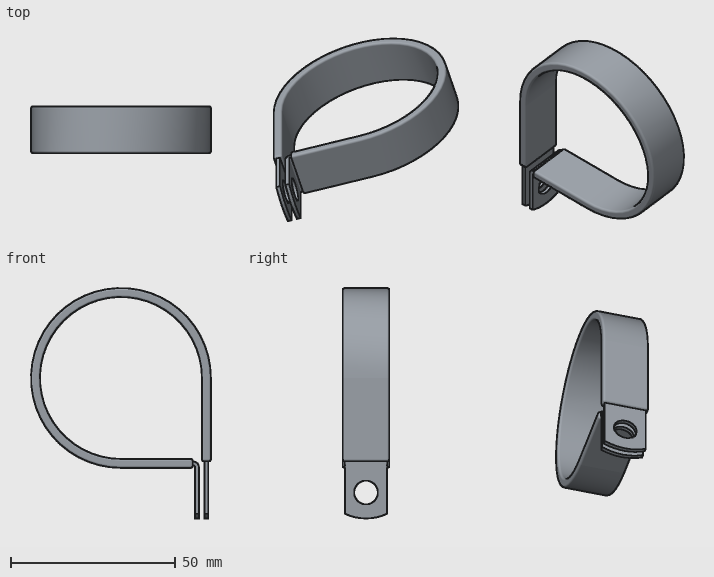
import cadquery as cq
import math


outer_diameter = 54.81
cushion_width = 14.29
cushion_thickness = 2.8
cushion_edge_radius = 0.7
strip_width = 12.89
strip_thickness = 1.22

lower_leg_end_x = 21.87
side_leg_end_z = -25.4
overall_height = 70.2
bent_tab_outer_x = 23.75
bend_inner_radius = 0.6
hole_diameter = 7.14
hole_to_bottom = 7.94
tab_end_rise = 1.45

outer_radius = outer_diameter / 2
tab_bottom_z = outer_radius - overall_height
mid_radius = outer_radius - cushion_thickness / 2
strip_inner_radius = mid_radius - strip_thickness / 2
strip_outer_radius = mid_radius + strip_thickness / 2
bend_outer_radius = bend_inner_radius + strip_thickness
bend_center_x = bent_tab_outer_x - bend_outer_radius
bend_center_z = -strip_inner_radius - bend_outer_radius
hole_z = tab_bottom_z + hole_to_bottom
diagonal = math.sqrt(0.5)


def extrude_centered(outline, width):
    """Extrude an XZ outline symmetrically about the XZ plane."""
    return outline.extrude(width / 2, both=True)


def make_cushion():
    """Three-quarter loop with two tangent legs, rounded on every edge."""
    inner_radius = outer_radius - cushion_thickness
    outline = (
        cq.Workplane("XZ")
        .moveTo(lower_leg_end_x, -outer_radius)
        .lineTo(0, -outer_radius)
        .threePointArc((-outer_radius * diagonal, outer_radius * diagonal), (outer_radius, 0))
        .lineTo(outer_radius, side_leg_end_z)
        .lineTo(inner_radius, side_leg_end_z)
        .lineTo(inner_radius, 0)
        .threePointArc((-inner_radius * diagonal, inner_radius * diagonal), (0, -inner_radius))
        .lineTo(lower_leg_end_x, -inner_radius)
        .close()
    )
    return extrude_centered(outline, cushion_width).edges().fillet(cushion_edge_radius)


def make_bent_tab():
    """Strip leaving the horizontal leg and turning down through a right-angle bend."""
    bent_tab_inner_x = bent_tab_outer_x - strip_thickness
    outline = (
        cq.Workplane("XZ")
        .moveTo(0, -strip_inner_radius)
        .lineTo(bend_center_x, -strip_inner_radius)
        .threePointArc(
            (bend_center_x + bend_outer_radius * diagonal, bend_center_z + bend_outer_radius * diagonal),
            (bent_tab_outer_x, bend_center_z),
        )
        .lineTo(bent_tab_outer_x, tab_bottom_z)
        .lineTo(bent_tab_inner_x, tab_bottom_z)
        .lineTo(bent_tab_inner_x, bend_center_z)
        .threePointArc(
            (bend_center_x + bend_inner_radius * diagonal, bend_center_z + bend_inner_radius * diagonal),
            (bend_center_x, -strip_outer_radius),
        )
        .lineTo(0, -strip_outer_radius)
        .close()
    )
    return extrude_centered(outline, strip_width)


def make_straight_tab():
    """Strip running straight down out of the vertical leg."""
    return (
        cq.Workplane("XY")
        .box(strip_thickness, strip_width, -tab_bottom_z, centered=(True, True, False))
        .translate((mid_radius, 0, tab_bottom_z))
    )


def make_tab_shape():
    """Tab silhouette along X: straight sides, rounded lower end and a bolt hole."""
    half_width = strip_width / 2
    side_bottom_z = tab_bottom_z + tab_end_rise
    silhouette = (
        cq.Workplane("YZ")
        .moveTo(-half_width, 0)
        .lineTo(-half_width, side_bottom_z)
        .threePointArc((0, tab_bottom_z), (half_width, side_bottom_z))
        .lineTo(half_width, 0)
        .close()
        .extrude(outer_radius)
    )
    hole = (
        cq.Workplane("YZ")
        .center(0, hole_z)
        .circle(hole_diameter / 2)
        .extrude(outer_radius)
    )
    return silhouette.cut(hole)


tabs = make_bent_tab().union(make_straight_tab()).intersect(make_tab_shape())
result = make_cushion().union(tabs)